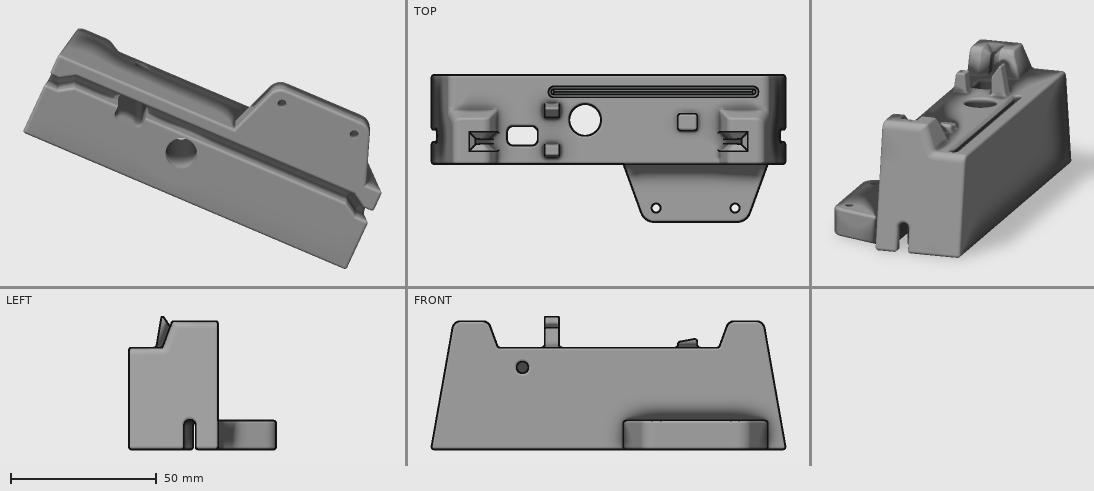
import cadquery as cq
import math


EDGE = 1.0
FINE = EDGE / 2
ABOVE_ALL = 72.8

LENGTH = 121.3
DEPTH = 30.6
DECK = 35.0
PILLAR_TOP = 44.0
END_ANGLE = 10.0
END_LEAN = math.tan(math.radians(END_ANGLE))
PILLAR_LEAN = math.tan(math.radians(20))
CREST = 3.0
PILLAR_FOOT_X = 37.9
PILLAR_FOOT_Y = 19.0
PILLAR_SPLIT_X = 48.9

SLIT_Y = 7.8
SLIT_WIDTH = 1.5
SLIT_END = 45.3
SLIT_FLARE = 2.5
SLIT_RELIEF = 2.0

PLATE_X = 29.8
PLATE_WIDTH = 49.5
PLATE_REACH = 19.9
PLATE_HEIGHT = 10.0
PLATE_CORNER = 5.0
PLATE_HOLE = 3.0
PLATE_HOLE_SPACING = 27.0
PLATE_HOLE_INSET = 4.9

BORE = 10.8
BORE_X = -8.0
BORE_Y = 15.2

CABLE = 4.0
CABLE_X = -29.5
CABLE_Y = 9.7
CABLE_Z = 28.1
SLOT_LENGTH = 10.4
SLOT_WIDTH = 6.5
CHANNEL_TOP = 10.2
CHANNEL_JOG = 3.2
JOG_OUTER_X = 56.4
JOG_INNER_X = 51.6

GROOVE_X = 15.4
GROOVE_Y = 24.8
GROOVE_LENGTH = 70.0
GROOVE_WIDTH = 1.8
GROOVE_SLIT = 1.0
GROOVE_LEDGE_DROP = 0.29
GROOVE_DEPTH = 4.0

POST_X = -19.4
POST_WIDTH = 5.0
HOOK_BACK, HOOK_FRONT = 21.2, 16.0
HOOK_PEAK_Y, HOOK_PEAK, HOOK_FOLD = 19.3, 46.3, 41.5
STUB_BACK, STUB_FRONT = 7.0, 2.2
STUB_TOP_BACK, STUB_TOP_FRONT, STUB_TOP = 6.4, 3.2, 41.7

WEDGE_LEFT, WEDGE_RIGHT = 23.8, 30.5
WEDGE_Y = 14.4
WEDGE_WIDTH = 5.8
WEDGE_LOW, WEDGE_HIGH = 36.9, 38.1

CORNER_LOSS = EDGE / math.tan(math.radians((90 - END_ANGLE) / 2)) - EDGE
HALF_FOOT = LENGTH / 2 + CORNER_LOSS
PILLAR_RISE = PILLAR_TOP - DECK
PILLAR_SETBACK = PILLAR_RISE * PILLAR_LEAN
TOL = 0.06
MARGIN = 2.4


def prism_xz(points, y_start, y_end):
    """Extrude an X-Z outline from y_start to y_end."""
    plane = cq.Workplane("XZ", origin=(0, y_end, 0))
    return plane.polyline(points).close().extrude(y_end - y_start)


def prism_yz(points, x_start, x_end):
    """Extrude a Y-Z outline from x_start to x_end."""
    plane = cq.Workplane("YZ", origin=(x_start, 0, 0))
    return plane.polyline(points).close().extrude(x_end - x_start)


def edges_where(solid, test):
    """Select the edges whose centre point passes the test."""
    return solid.newObject([edge for edge in solid.edges().vals() if test(edge.Center())])


def stepped_block():
    """Block with leaning ends and a low deck behind a full-length ridge."""
    half_top = HALF_FOOT - PILLAR_TOP * END_LEAN
    outline = [(-HALF_FOOT, 0), (HALF_FOOT, 0), (half_top, PILLAR_TOP), (-half_top, PILLAR_TOP)]
    rear_step = [
        (PILLAR_FOOT_Y, DECK),
        (PILLAR_FOOT_Y - PILLAR_SETBACK, PILLAR_TOP),
        (DEPTH, PILLAR_TOP),
        (DEPTH, DECK),
    ]
    return prism_xz(outline, 0, DEPTH).cut(prism_yz(rear_step, -HALF_FOOT, HALF_FOOT))


def rounded_ends(block):
    """Round the rear foot of the ridge, the end shoulders and the rear crest."""
    block = edges_where(
        block, lambda c: abs(c.z - DECK) < TOL and abs(c.y - PILLAR_FOOT_Y) < TOL
    ).fillet(EDGE)

    def on_shoulder(c):
        on_end = abs(abs(c.x) - HALF_FOOT + c.z * END_LEAN) < 4 * TOL
        return c.z > DECK - 2 * TOL and on_end and TOL < c.y < DEPTH - TOL

    block = edges_where(block, on_shoulder).fillet(CREST)
    rear_crest_y = PILLAR_FOOT_Y - PILLAR_SETBACK
    return edges_where(
        block, lambda c: c.z > PILLAR_TOP - TOL and abs(c.y - rear_crest_y) < 2 * TOL
    ).fillet(EDGE)


def mirrored_pair(solid):
    """The solid together with its mirror image across the X centre."""
    return solid.union(solid.mirror("YZ"))


def slits():
    """Vertical slits, one per pillar, reaching down to deck level."""
    open_x = PILLAR_FOOT_X - SLIT_WIDTH
    outline = [(open_x, DECK), (SLIT_END, DECK), (SLIT_END, ABOVE_ALL), (open_x, ABOVE_ALL)]
    return mirrored_pair(prism_xz(outline, SLIT_Y - SLIT_WIDTH / 2, SLIT_Y + SLIT_WIDTH / 2))


def slit_plugs():
    """Low fillings of the slits, flush with the bottom of their flared edges."""
    front_x = PILLAR_FOOT_X + SLIT_FLARE / math.cos(math.atan(PILLAR_LEAN))
    height = 3 * EDGE
    outline = [
        (front_x, DECK),
        (SLIT_END, DECK),
        (SLIT_END, DECK + height),
        (front_x + height * PILLAR_LEAN, DECK + height),
    ]
    return mirrored_pair(prism_xz(outline, SLIT_Y - SLIT_WIDTH / 2, SLIT_Y + SLIT_WIDTH / 2))


def slit_reliefs():
    """Round reliefs at the closed ends of the slits."""
    relief_x = SLIT_END - SLIT_RELIEF / 4
    relief = cq.Workplane(origin=(relief_x, SLIT_Y, DECK)).circle(SLIT_RELIEF / 2).extrude(PILLAR_RISE)
    return mirrored_pair(relief)


def flare_slits(block):
    """Chamfer the upper edges of the slits over the pillar top and inner slope."""

    def on_upper_edge(c):
        on_side = abs(abs(c.y - SLIT_Y) - SLIT_WIDTH / 2) < TOL and c.z > DECK + TOL
        on_end = abs(abs(c.x) - SLIT_END) < TOL and c.z > PILLAR_TOP - TOL
        return on_end or (on_side and abs(c.x) < SLIT_END - TOL)

    return edges_where(block, on_upper_edge).chamfer(SLIT_FLARE)


def rounded_middle(block):
    """Open the gap between the pillars and round its edges."""
    crest_x = PILLAR_FOOT_X + PILLAR_SETBACK
    gap = [
        (-PILLAR_FOOT_X, DECK),
        (PILLAR_FOOT_X, DECK),
        (crest_x, PILLAR_TOP),
        (-crest_x, PILLAR_TOP),
    ]
    block = block.cut(prism_xz(gap, 0, DEPTH))
    block = edges_where(
        block, lambda c: c.z > PILLAR_TOP - TOL and abs(abs(c.x) - crest_x) < 2 * TOL
    ).fillet(CREST)

    def on_rear_ridge(c):
        is_middle = abs(c.x) < PILLAR_SPLIT_X + MARGIN
        return c.z > DECK + TOL and is_middle and c.y > DEPTH / 2 - MARGIN

    block = edges_where(block, on_rear_ridge).fillet(EDGE)
    block = flare_slits(block.cut(slits())).union(slit_plugs())

    def on_foot(c):
        return (
            abs(c.z - DECK) < TOL
            and PILLAR_FOOT_X - TOL < abs(c.x) < PILLAR_SPLIT_X + MARGIN
            and TOL < c.y < PILLAR_FOOT_Y + TOL
        )

    block = edges_where(block, on_foot).fillet(EDGE)
    return block.cut(slits()).cut(slit_reliefs())


def main_body():
    """Join the separately rounded middle and ends across the flat pillar tops."""
    block = stepped_block()
    middle_zone = cq.Workplane().box(2 * PILLAR_SPLIT_X, 4 * DEPTH, 2 * ABOVE_ALL)
    middle = rounded_middle(block).intersect(middle_zone)
    return rounded_ends(block).cut(middle_zone).union(middle).clean()


def mounting_plate():
    root = PLATE_WIDTH / 2
    tip = root - PLATE_REACH * PILLAR_LEAN
    outline = [
        (PLATE_X - root, MARGIN),
        (PLATE_X - root, 0),
        (PLATE_X - tip, -PLATE_REACH),
        (PLATE_X + tip, -PLATE_REACH),
        (PLATE_X + root, 0),
        (PLATE_X + root, MARGIN),
    ]
    plate = cq.Workplane().polyline(outline).close().extrude(PLATE_HEIGHT)
    plate = edges_where(plate.edges("|Z"), lambda c: c.y < -TOL).fillet(PLATE_CORNER)
    return edges_where(plate.faces(">Z"), lambda c: c.y < -TOL).fillet(EDGE)


def cable_channel():
    """Arched channel along the underside that jogs sideways between its mouths."""
    spring = CHANNEL_TOP - CABLE / 2
    jog_y = CABLE_Y - CHANNEL_JOG
    path = cq.Workplane().polyline(
        [
            (-HALF_FOOT - MARGIN, CABLE_Y),
            (-JOG_OUTER_X, CABLE_Y),
            (-JOG_INNER_X, jog_y),
            (JOG_INNER_X, jog_y),
            (JOG_OUTER_X, CABLE_Y),
            (HALF_FOOT + MARGIN, CABLE_Y),
        ]
    )
    section = (
        cq.Workplane("YZ", origin=(-HALF_FOOT - MARGIN, CABLE_Y, 0))
        .moveTo(-CABLE / 2, 0)
        .lineTo(CABLE / 2, 0)
        .lineTo(CABLE / 2, spring)
        .threePointArc((0, CHANNEL_TOP), (-CABLE / 2, spring))
        .close()
    )
    return section.sweep(path, transition="right")


def round_outline(part):
    """Round the front and rear outlines, the underside and the channel mouths."""

    def on_outline(c):
        on_plate_joint = 0 < c.z < PLATE_HEIGHT + TOL and abs(c.x - PLATE_X) < PLATE_WIDTH / 2 + TOL
        on_front = abs(c.y) < TOL / 10 and not on_plate_joint
        return on_front or c.y > DEPTH - TOL / 10

    def on_mouth(c):
        at_end = abs(abs(c.x) - HALF_FOOT + c.z * END_LEAN) < 4 * TOL
        return at_end and c.z < CHANNEL_TOP + MARGIN and abs(c.y - CABLE_Y) < CABLE

    return edges_where(part, lambda c: c.z < TOL or on_outline(c) or on_mouth(c)).fillet(EDGE)


def rounded_post(profile):
    post = prism_yz(profile, POST_X - POST_WIDTH / 2, POST_X + POST_WIDTH / 2)
    return edges_where(post, lambda c: c.z > DECK + TOL).fillet(FINE)


def add_on_deck(part, feature):
    """Join a raised feature to the deck and round its foot."""
    box = feature.val().BoundingBox()

    def on_foot(c):
        near_x = box.xmin - TOL < c.x < box.xmax + TOL
        near_y = box.ymin - TOL < c.y < box.ymax + TOL
        return abs(c.z - DECK) < TOL and near_x and near_y

    return edges_where(part.union(feature), on_foot).fillet(EDGE)


def hook_post():
    return rounded_post(
        [(HOOK_BACK, DECK), (HOOK_PEAK_Y, HOOK_PEAK), (HOOK_FRONT, HOOK_FOLD), (HOOK_FRONT, DECK)]
    )


def stub_post():
    return rounded_post(
        [(STUB_BACK, DECK), (STUB_TOP_BACK, STUB_TOP), (STUB_TOP_FRONT, STUB_TOP), (STUB_FRONT, DECK)]
    )


def wedge():
    outline = [
        (WEDGE_LEFT, DECK),
        (WEDGE_RIGHT, DECK),
        (WEDGE_RIGHT, WEDGE_HIGH),
        (WEDGE_LEFT, WEDGE_LOW),
    ]
    block = prism_xz(outline, WEDGE_Y - WEDGE_WIDTH / 2, WEDGE_Y + WEDGE_WIDTH / 2)
    return edges_where(block, lambda c: c.z > DECK + TOL).fillet(EDGE)


def cut_openings(part):
    """Cut the bore, cable slot and front hole and round their mouths."""
    bore = cq.Workplane().center(BORE_X, BORE_Y).circle(BORE / 2).extrude(ABOVE_ALL)
    slot = (
        cq.Workplane()
        .center(CABLE_X, CABLE_Y)
        .rect(SLOT_LENGTH, SLOT_WIDTH)
        .extrude(ABOVE_ALL)
        .edges("|Z")
        .fillet(CABLE / 2)
    )
    front_hole = (
        cq.Workplane("XZ").center(CABLE_X, CABLE_Z).circle(CABLE / 2).extrude(-CABLE_Y)
    )
    part = part.cut(bore).cut(slot).cut(front_hole)

    def on_mouth(c):
        at_bore = math.hypot(c.x - BORE_X, c.y - BORE_Y) < BORE / 2 + TOL
        in_slot_length = abs(c.x - CABLE_X) < SLOT_LENGTH / 2 + TOL
        at_slot = in_slot_length and abs(c.y - CABLE_Y) < SLOT_WIDTH / 2 + TOL
        at_front = abs(c.y) < TOL and math.hypot(c.x - CABLE_X, c.z - CABLE_Z) < CABLE / 2 + TOL
        return at_front or (abs(c.z - DECK) < TOL and (at_bore or at_slot))

    return edges_where(part, on_mouth).fillet(EDGE)


def card_groove():
    """Groove with a chamfered mouth, a sloping rear ledge and a deep slit in front of it."""
    mouth = (
        cq.Workplane(origin=(GROOVE_X, GROOVE_Y, DECK))
        .slot2D(GROOVE_LENGTH + 2 * EDGE, GROOVE_WIDTH + 2 * EDGE)
        .extrude(-EDGE, taper=45)
    )
    front = GROOVE_Y - GROOVE_WIDTH / 2
    ledge_front = front + GROOVE_SLIT
    ledge_top = DECK - EDGE
    section = [
        (front, ledge_top),
        (front + GROOVE_WIDTH, ledge_top),
        (ledge_front, ledge_top - GROOVE_LEDGE_DROP),
        (ledge_front, DECK - GROOVE_DEPTH),
        (front, DECK - GROOVE_DEPTH),
    ]
    half_straight = (GROOVE_LENGTH - GROOVE_WIDTH) / 2
    return mouth.union(prism_yz(section, GROOVE_X - half_straight, GROOVE_X + half_straight))


def plate_holes():
    spread = PLATE_HOLE_SPACING / 2
    hole_y = PLATE_HOLE_INSET - PLATE_REACH
    return (
        cq.Workplane()
        .pushPoints([(PLATE_X - spread, hole_y), (PLATE_X + spread, hole_y)])
        .circle(PLATE_HOLE / 2)
        .extrude(PLATE_HEIGHT)
    )


part = main_body().union(mounting_plate()).cut(cable_channel())
part = round_outline(part)
part = add_on_deck(part, hook_post())
part = add_on_deck(part, stub_post())
part = add_on_deck(part, wedge())
part = cut_openings(part)
result = part.cut(card_groove()).cut(plate_holes())